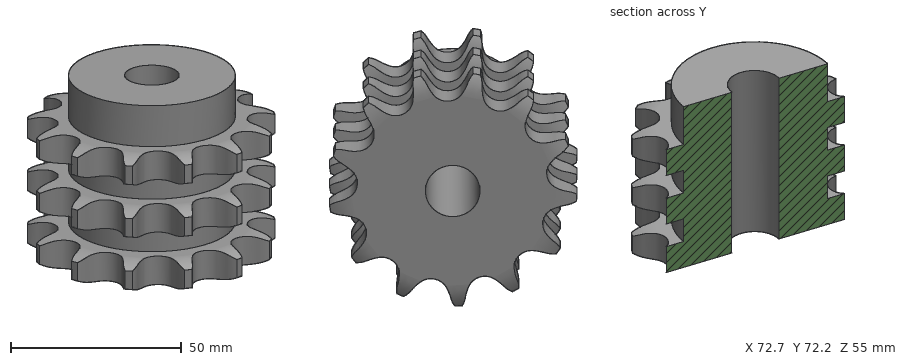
import cadquery as cq
import math

tooth_count = 13
chain_pitch = 15.875
roller_diameter = 10.16
strand_count = 3
strand_spacing = 16.55
tooth_width = 9.0
tip_diameter = 73.0
crown_radius = 16.0
crown_drop = 1.6
hub_diameter = 49.0
bore_diameter = 16.0
overall_length = 55.0
first_gap_angle = 90.0

tip_radius = tip_diameter / 2
half_pitch_angle = math.pi / tooth_count
pitch_radius = chain_pitch / (2 * math.sin(half_pitch_angle))
form_clearance = 0.0381
seating_radius = 0.5025 * roller_diameter + form_clearance
working_radius = 1.3025 * roller_diameter + form_clearance
working_center_distance = working_radius - seating_radius
topping_center_distance = 1.4 * roller_diameter
seating_angle = math.radians(35 + 60 / tooth_count)
working_angle = math.radians(18 - 56 / tooth_count)


def polar(center, radius, angle):
    """Point at a radius and angle (radians) from a centre."""
    return (center[0] + radius * math.cos(angle), center[1] + radius * math.sin(angle))


def flank_points():
    """Flank from the seating arc to the tip, on the -X side of a gap centred on +Y."""
    roller_center = (0, pitch_radius)
    working_center = polar(roller_center, working_center_distance, seating_angle)
    topping_center = polar(roller_center, topping_center_distance, math.pi + half_pitch_angle)

    working_start_angle = math.pi + seating_angle
    flat_normal = working_start_angle - working_angle
    seating_end = polar(working_center, working_radius, working_start_angle)
    working_middle = polar(working_center, working_radius, working_start_angle - working_angle / 2)
    flat_start = polar(working_center, working_radius, flat_normal)

    topping_start_angle = flat_normal - math.pi
    topping_radius = (
        (flat_start[0] - topping_center[0]) * math.cos(topping_start_angle)
        + (flat_start[1] - topping_center[1]) * math.sin(topping_start_angle)
    )
    flat_end = polar(topping_center, topping_radius, topping_start_angle)

    topping_center_radius = math.hypot(*topping_center)
    cos_at_topping_center = (
        (topping_center_radius**2 + topping_radius**2 - tip_radius**2)
        / (2 * topping_center_radius * topping_radius)
    )
    inward_angle = math.atan2(-topping_center[1], -topping_center[0])
    tip_angle = inward_angle + math.acos(cos_at_topping_center)
    topping_middle = polar(topping_center, topping_radius, (topping_start_angle + tip_angle) / 2)
    tip = polar(topping_center, topping_radius, tip_angle)
    return seating_end, working_middle, flat_start, flat_end, topping_middle, tip


def mirror(point):
    return (-point[0], point[1])


def tooth_gap():
    """Cutter for one gap, starting at the bottom of a strand and reaching past the tips."""
    seating_end, working_middle, flat_start, flat_end, topping_middle, tip = flank_points()
    seating_bottom = (0, pitch_radius - seating_radius)
    outside = (0, tip_radius + roller_diameter)
    return (
        cq.Workplane("XY")
        .moveTo(*tip)
        .threePointArc(topping_middle, flat_end)
        .lineTo(*flat_start)
        .threePointArc(working_middle, seating_end)
        .threePointArc(seating_bottom, mirror(seating_end))
        .threePointArc(mirror(working_middle), mirror(flat_start))
        .lineTo(*mirror(flat_end))
        .threePointArc(mirror(topping_middle), mirror(tip))
        .lineTo(*outside)
        .close()
        .extrude(tooth_width)
    )


def crowned_disc():
    """Disc with both sides rounded off toward the tip circle."""
    half_crown_angle = math.acos(1 - crown_drop / crown_radius) / 2
    crown_start_radius = tip_radius - crown_radius * math.sin(2 * half_crown_angle)
    middle_radius = crown_start_radius + crown_radius * math.sin(half_crown_angle)
    middle_drop = crown_radius * (1 - math.cos(half_crown_angle))
    return (
        cq.Workplane("XZ")
        .moveTo(0, 0)
        .lineTo(crown_start_radius, 0)
        .threePointArc((middle_radius, middle_drop), (tip_radius, crown_drop))
        .lineTo(tip_radius, tooth_width - crown_drop)
        .threePointArc((middle_radius, tooth_width - middle_drop), (crown_start_radius, tooth_width))
        .lineTo(0, tooth_width)
        .close()
        .revolve(360, (0, 0, 0), (0, 1, 0))
    )


def toothed_strand():
    strand = crowned_disc()
    gap = tooth_gap()
    for index in range(tooth_count):
        gap_rotation = first_gap_angle - 90 + index * 360 / tooth_count
        strand = strand.cut(gap.rotate((0, 0, 0), (0, 0, 1), gap_rotation))
    return strand


def sprocket():
    body = cq.Workplane("XY").circle(hub_diameter / 2).extrude(overall_length)
    strand = toothed_strand()
    for index in range(strand_count):
        body = body.union(strand.translate((0, 0, index * strand_spacing)))
    bore = cq.Workplane("XY").circle(bore_diameter / 2).extrude(overall_length)
    return body.cut(bore)


result = sprocket()